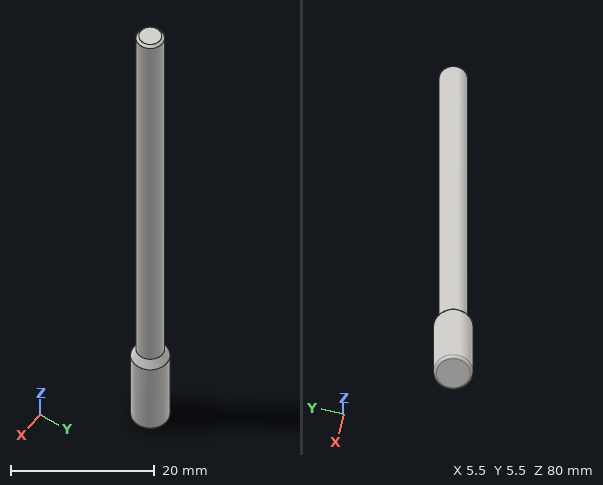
import cadquery as cq

total_length = 80.0
shank_diameter = 4.0
head_diameter = 5.5

head_length = 14.0
taper_length = 1.4
head_edge_radius = 0.4

shank_length = total_length - head_length
shank_chamfer = 0.4


def make_head():
    """Round head with a rounded lower rim and a conical shoulder on top."""
    radius = head_diameter / 2
    taper_inset = (head_diameter - shank_diameter) / 2
    return (
        cq.Workplane("XY")
        .circle(radius)
        .extrude(head_length)
        .faces("<Z")
        .fillet(head_edge_radius)
        .faces(">Z")
        .chamfer(taper_length, taper_inset)
    )


def make_shank():
    """Straight shank with a chamfered free end."""
    return (
        cq.Workplane("XY", origin=(0, 0, head_length))
        .circle(shank_diameter / 2)
        .extrude(shank_length)
        .faces(">Z")
        .chamfer(shank_chamfer)
    )


head = make_head()
shank = make_shank()

result = cq.Compound.makeCompound([head.val(), shank.val()])